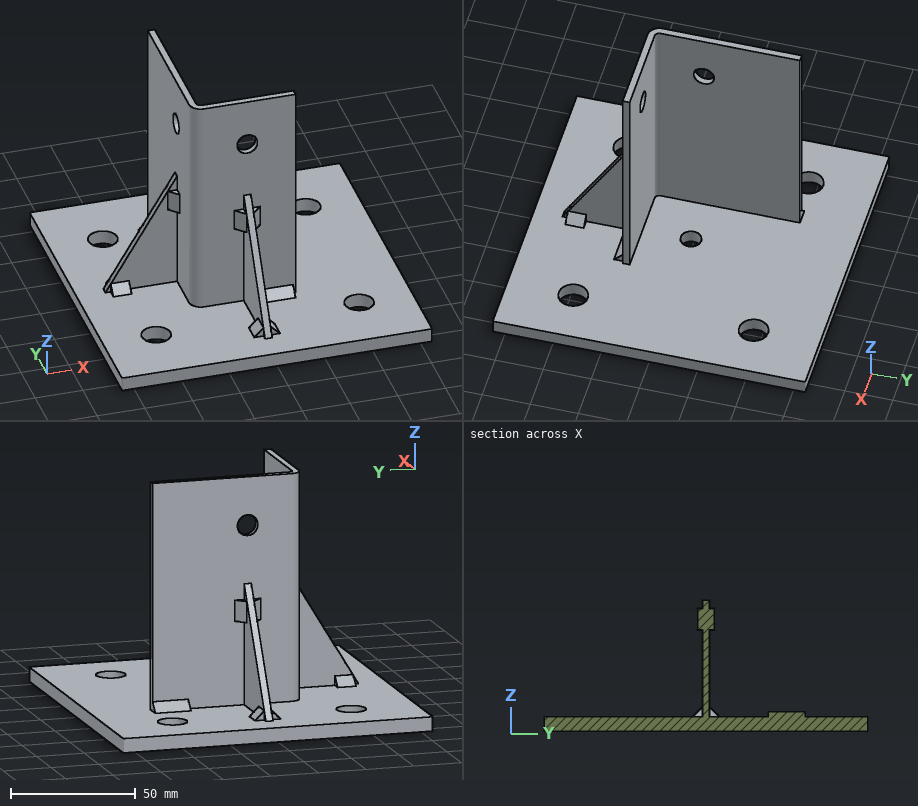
import cadquery as cq

base_side = 130.0
base_thickness = 6.0
base_corner_radius = 0.6
anchor_spacing_x = 85.0
anchor_spacing_y = 75.0
anchor_diameter = 12.0
centre_hole_diameter = 8.5

total_height = 100.0
angle_offset = 23.0
sheet_thickness = 3.0
outer_bend_radius = 5.0
leg_x_end = 20.3
leg_y_end = 39.9
leg_hole_height = 80.0
leg_hole_diameter = 8.5

gusset_length = 30.0
gusset_height = 49.9
gusset_thickness = sheet_thickness

weld_leg = 3.9
foot_weld_start = 20.2
foot_weld_length = 7.7
upright_weld_bottom = 34.7
upright_weld_length = 8.7
leg_y_weld_length = 15.0
leg_x_weld_end = 19.1


def make_base():
    plate = cq.Workplane("XY").box(base_side, base_side, base_thickness, centered=(True, True, False))
    plate = plate.edges("|Z").fillet(base_corner_radius)
    plate = plate.faces(">Z").workplane().rarray(anchor_spacing_x, anchor_spacing_y, 2, 2).hole(anchor_diameter)
    return plate.faces(">Z").workplane().hole(centre_hole_diameter)


def make_upright():
    outer = -angle_offset
    inner = outer + sheet_thickness
    upright = (
        cq.Workplane("XY", origin=(0, 0, base_thickness))
        .moveTo(outer, outer)
        .lineTo(leg_x_end, outer)
        .lineTo(leg_x_end, inner)
        .lineTo(inner, inner)
        .lineTo(inner, leg_y_end)
        .lineTo(outer, leg_y_end)
        .close()
        .extrude(total_height - base_thickness)
    )
    upright = upright.edges(cq.selectors.NearestToPointSelector((outer, outer, total_height / 2)))
    upright = upright.fillet(outer_bend_radius)
    upright = upright.edges(cq.selectors.NearestToPointSelector((inner, inner, total_height / 2)))
    upright = upright.fillet(outer_bend_radius - sheet_thickness)
    hole_radius = leg_hole_diameter / 2
    for plane in ("YZ", "XZ"):
        hole = cq.Workplane(plane).center(0, leg_hole_height).circle(hole_radius).extrude(base_side / 2, both=True)
        upright = upright.cut(hole)
    return upright


def triangle_prism(plane, origin, leg_1, leg_2, length):
    """Right triangle on the local axes of a plane, extruded along its normal."""
    corner = cq.Workplane(plane, origin=origin).moveTo(0, 0)
    return corner.lineTo(leg_1, 0).lineTo(0, leg_2).close().extrude(length)


def make_welded_gusset():
    """Gusset pointing towards -X, with a foot weld and an upright weld on each side."""
    face = -angle_offset
    half_thickness = gusset_thickness / 2
    gusset = triangle_prism(
        "XZ", (face, half_thickness, base_thickness), -gusset_length, gusset_height, gusset_thickness
    )
    foot_x = face - foot_weld_start - foot_weld_length
    upright_z = base_thickness + upright_weld_bottom
    for side in (-1, 1):
        side_y = side * half_thickness
        foot_weld = triangle_prism(
            "YZ", (foot_x, side_y, base_thickness), side * weld_leg, weld_leg, foot_weld_length
        )
        upright_weld = triangle_prism(
            "XY", (face, side_y, upright_z), -weld_leg, side * weld_leg, upright_weld_length
        )
        gusset = gusset.union(foot_weld).union(upright_weld)
    return gusset


def make_leg_welds():
    """Beads along the foot of each leg; the one on the X leg starts inside the gusset."""
    leg_y_weld = triangle_prism(
        "XZ", (-angle_offset, leg_y_end, base_thickness), -weld_leg, weld_leg, leg_y_weld_length
    )
    leg_x_weld = triangle_prism(
        "YZ", (0, -angle_offset, base_thickness), -weld_leg, weld_leg, leg_x_weld_end
    )
    return leg_y_weld.union(leg_x_weld)


left_gusset = make_welded_gusset()
front_gusset = left_gusset.rotate((0, 0, 0), (0, 0, 1), 90)

body = make_base().union(make_upright()).union(left_gusset).union(front_gusset)
result = body.union(make_leg_welds())